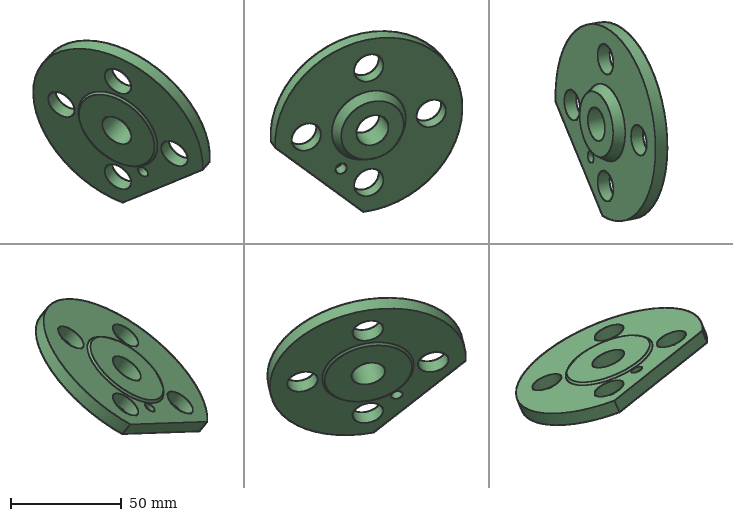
import cadquery as cq
import math

plate_diameter = 90.0
plate_thickness = 6.3
flat_distance = 33.6
flat_angle = -45.0

face_height = 1.0
face_base_diameter = 42.0
face_top_diameter = 40.0

overall_depth = 12.0
hub_height = overall_depth - plate_thickness - face_height
hub_base_diameter = 35.5
hub_top_diameter = 30.0

bore_diameter = 15.4
bolt_hole_diameter = 14.0
bolt_circle_radius = 30.0
bolt_hole_count = 4
pin_hole_diameter = 5.3
pin_hole_x = 13.3
pin_hole_z = -20.0

plate_front = 0.0
plate_back = plate_front + plate_thickness
face_front = plate_front - face_height
hub_back = plate_back + hub_height


def make_turned_body():
    """Plate, raised face and conical hub, revolved together about the Y axis."""
    profile = [
        (face_front, 0),
        (face_front, face_top_diameter / 2),
        (plate_front, face_base_diameter / 2),
        (plate_front, plate_diameter / 2),
        (plate_back, plate_diameter / 2),
        (plate_back, hub_base_diameter / 2),
        (hub_back, hub_top_diameter / 2),
        (hub_back, 0),
    ]
    return cq.Workplane("YZ").polyline(profile).close().revolve(360, (0, 0, 0), (1, 0, 0))


def make_flat_cutter():
    """Block whose inner side forms the flat edge of the plate."""
    cutter = cq.Workplane("XY").box(plate_diameter, 2 * overall_depth, plate_diameter)
    cutter = cutter.translate((flat_distance + plate_diameter / 2, 0, 0))
    return cutter.rotate((0, 0, 0), (0, 1, 0), -flat_angle)


def make_through_hole(x, z, diameter):
    """Cylinder along Y through the full depth of the part."""
    return cq.Workplane("XZ", origin=(x, hub_back, z)).circle(diameter / 2).extrude(overall_depth)


result = make_turned_body().cut(make_flat_cutter())
result = result.cut(make_through_hole(0, 0, bore_diameter))
result = result.cut(make_through_hole(pin_hole_x, pin_hole_z, pin_hole_diameter))
for index in range(bolt_hole_count):
    angle = 2 * math.pi * index / bolt_hole_count
    bolt_x = bolt_circle_radius * math.cos(angle)
    bolt_z = bolt_circle_radius * math.sin(angle)
    result = result.cut(make_through_hole(bolt_x, bolt_z, bolt_hole_diameter))